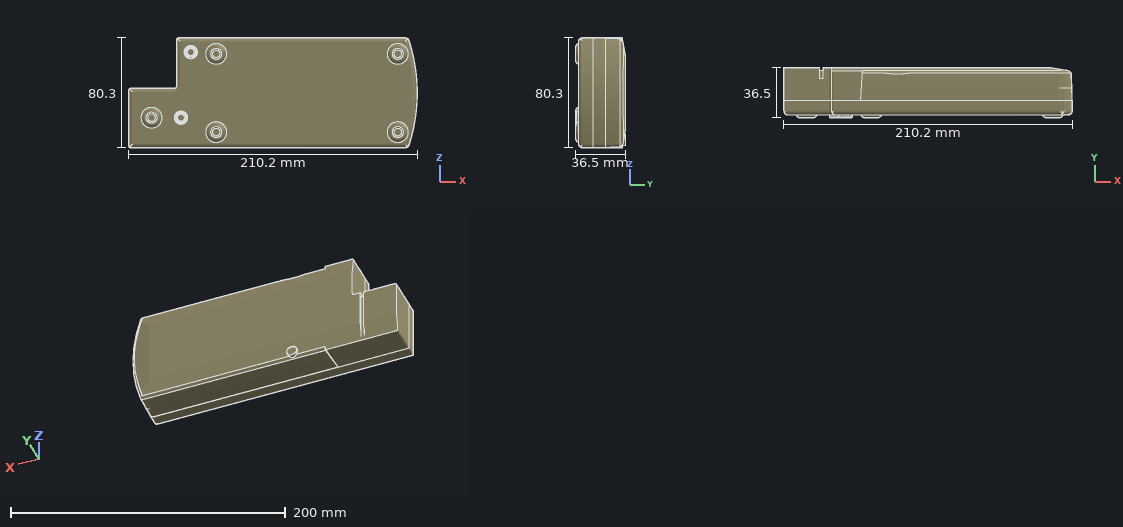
import cadquery as cq
import math

LENGTH = 210.2
DEPTH = 36.5
HEIGHT = 80.3

STEP_X = 35.0
STEP_Z = 43.5
END_BULGE = 6.7
CONVEX_RADIUS = 1.5
CONCAVE_RADIUS = 1.9
END_RADIUS = 3.4
END_CORNER_X = LENGTH - END_BULGE

FOOT_HEIGHT = 2.0
BASE_FRONT_Y = FOOT_HEIGHT
SPLIT_Y = 12.6
PANEL_RIDGE_Y = 21.9
PANEL_BEVEL_Y = 32.5
PANEL_BEVEL_BACK_Y = 35.0
FRONT_FILLET = 3.2

PANEL_START_X = 56.0
PANEL_START_BACK_X = 57.5
PANEL_INSET = 0.2
LOWER_DRAFT = 1.0
UPPER_DRAFT = 2.5
BEVEL_ANGLE = 45.0

BACK_SLOPE_DROP = 2.5
SIDE_SLOPE_WIDTH = 14.0
END_SLOPE_WIDTH = 15.8

GROOVE_X = 27.3
GROOVE_WIDTH = 2.5
GROOVE_DEPTH = 1.9
NOTCH_DEPTH = 8.0
NOTCH_HEIGHT = 2.0
SCOOP_X = 82.6
SCOOP_LENGTH = 19.5
SCOOP_DEPTH = 0.6
SCOOP_Y = 33.5
SCOOP_Z = 78.8
BUTTON_RADIUS = 4.0
BUTTON_Z = 5.7

FOOT_LEFT_X = 63.7
FOOT_RIGHT_X = 196.0
FOOT_LOW_Z = 11.5
FOOT_HIGH_Z = 68.5
TAIL_Z = 22.0
FOOT_POINTS = [(x, z) for x in (FOOT_LEFT_X, FOOT_RIGHT_X) for z in (FOOT_LOW_Z, FOOT_HIGH_Z)]
FOOT_POINTS.append((16.6, TAIL_Z))
FOOT_RADIUS = 7.5
FOOT_SHOULDER_RADIUS = 6.7
FOOT_SHOULDER_Y = 0.8
FOOT_LAND_RADIUS = 4.8
FOOT_HOLE_TOP_RADIUS = 4.0
FOOT_HOLE_RADIUS = 2.7

RING_POINTS = [(38.0, TAIL_Z), (45.2, 69.8)]
RING_RADIUS = 4.8
RING_CHAMFER = 0.6
RING_HOLE_TOP_RADIUS = 3.4
RING_HOLE_RADIUS = 2.5

ROOT = 0.6
MARGIN = 2.0


def plane_at(y):
    """XZ work plane at the given Y, extruding toward +Y, with local (x, y) = (X, -Z)."""
    return cq.Workplane(cq.Plane(origin=(0, y, 0), xDir=(1, 0, 0), normal=(0, 1, 0)))


def stepped_block(y_front, y_back):
    """Sharp-cornered stepped block with the arched right end and a rounded inner corner."""
    block = (
        plane_at(y_front)
        .moveTo(0, 0)
        .lineTo(END_CORNER_X, 0)
        .threePointArc((LENGTH, -HEIGHT / 2), (END_CORNER_X, -HEIGHT))
        .lineTo(STEP_X, -HEIGHT)
        .lineTo(STEP_X, -STEP_Z)
        .lineTo(0, -STEP_Z)
        .close()
        .extrude(y_back - y_front)
    )
    return block.edges(edge_near(STEP_X, STEP_Z)).fillet(CONCAVE_RADIUS)


def edge_near(x, z):
    """Selector for the edge parallel to Y at the given X and Z."""
    reach = 0.2
    return cq.selectors.BoxSelector((x - reach, -DEPTH, z - reach), (x + reach, 2 * DEPTH, z + reach))


def round_corners(block):
    """Round the outer corners of a stepped block."""
    for x, z in [(0, 0), (0, STEP_Z), (STEP_X, HEIGHT)]:
        block = block.edges(edge_near(x, z)).fillet(CONVEX_RADIUS)
    for z in (0, HEIGHT):
        block = block.edges(edge_near(END_CORNER_X, z)).fillet(END_RADIUS)
    return block


def turned(profile, x, z):
    """Turn a closed (radius, Y) outline about the Y-parallel axis through (x, z)."""
    return profile.close().revolve(360, (0, 0, 0), (0, 1, 0)).translate((x, 0, z))


def foot(x, z):
    """Round-shouldered foot with a tapered blind hole."""
    profile = (
        cq.Workplane("XY")
        .moveTo(0, BASE_FRONT_Y + ROOT)
        .lineTo(FOOT_RADIUS, BASE_FRONT_Y + ROOT)
        .lineTo(FOOT_RADIUS, BASE_FRONT_Y)
        .threePointArc((FOOT_SHOULDER_RADIUS, FOOT_SHOULDER_Y), (FOOT_LAND_RADIUS, 0))
        .lineTo(FOOT_HOLE_TOP_RADIUS, 0)
        .lineTo(FOOT_HOLE_RADIUS, FOOT_HEIGHT)
        .lineTo(0, FOOT_HEIGHT)
    )
    return turned(profile, x, z)


def ring(x, z):
    """Small chamfered ring with a tapered blind hole."""
    profile = (
        cq.Workplane("XY")
        .moveTo(0, BASE_FRONT_Y + ROOT)
        .lineTo(RING_RADIUS, BASE_FRONT_Y + ROOT)
        .lineTo(RING_RADIUS, RING_CHAMFER)
        .lineTo(RING_RADIUS - RING_CHAMFER, 0)
        .lineTo(RING_HOLE_TOP_RADIUS, 0)
        .lineTo(RING_HOLE_RADIUS, FOOT_HEIGHT)
        .lineTo(0, FOOT_HEIGHT)
    )
    return turned(profile, x, z)


def make_base():
    """Front shell: filleted front rim with mitred corners, feet and rings."""
    rim = stepped_block(BASE_FRONT_Y, SPLIT_Y).faces("<Y").edges().fillet(FRONT_FILLET)
    base = rim.intersect(round_corners(stepped_block(BASE_FRONT_Y, SPLIT_Y)))
    for x, z in FOOT_POINTS:
        base = base.union(foot(x, z))
    for x, z in RING_POINTS:
        base = base.union(ring(x, z))
    return base


def panel_stage(y_front, y_back, inset, draft):
    """Slice of the drafted panel body, its outline moved in by inset at the front."""
    corner_shift = inset * END_BULGE / (HEIGHT / 2)
    right = END_CORNER_X - inset + corner_shift
    slab = (
        plane_at(y_front)
        .moveTo(STEP_X, -inset)
        .lineTo(right, -inset)
        .threePointArc((LENGTH - inset, -HEIGHT / 2), (right, inset - HEIGHT))
        .lineTo(STEP_X, inset - HEIGHT)
        .close()
        .extrude(y_back - y_front)
    )
    for z in (inset, HEIGHT - inset):
        slab = slab.edges(edge_near(right, z)).fillet(END_RADIUS - inset)
    outline = slab.faces("<Y").wires().vals()
    return plane_at(y_front).newObject(outline).toPending().extrude(y_back - y_front, taper=draft)


def panel_trim():
    """Material to remove so the right part of the cover becomes a two-slope drafted panel."""
    zone = (
        cq.Workplane("XY")
        .polyline([
            (PANEL_START_X, SPLIT_Y),
            (LENGTH + MARGIN, SPLIT_Y),
            (LENGTH + MARGIN, DEPTH),
            (PANEL_START_BACK_X, DEPTH),
        ])
        .close()
        .extrude(HEIGHT + 2 * MARGIN)
        .translate((0, 0, -MARGIN))
    )
    inset = PANEL_INSET
    stages = [
        (SPLIT_Y, PANEL_RIDGE_Y, LOWER_DRAFT),
        (PANEL_RIDGE_Y, PANEL_BEVEL_Y, UPPER_DRAFT),
        (PANEL_BEVEL_Y, PANEL_BEVEL_BACK_Y, BEVEL_ANGLE),
        (PANEL_BEVEL_BACK_Y, DEPTH, 0.0),
    ]
    for y_front, y_back, draft in stages:
        stage = panel_stage(y_front, y_back, inset, draft)
        zone = zone.cut(stage)
        inset += (y_back - y_front) * math.tan(math.radians(draft))
    return zone


def slope_back(cover):
    """Slope the upper, lower and right borders of the back face."""
    side_profile = (
        cq.Workplane("YZ")
        .polyline([
            (SPLIT_Y, 0),
            (DEPTH - BACK_SLOPE_DROP, 0),
            (DEPTH, SIDE_SLOPE_WIDTH),
            (DEPTH, HEIGHT - SIDE_SLOPE_WIDTH),
            (DEPTH - BACK_SLOPE_DROP, HEIGHT),
            (SPLIT_Y, HEIGHT),
        ])
        .close()
        .extrude(LENGTH)
    )
    end_profile = (
        cq.Workplane("XY")
        .polyline([
            (0, SPLIT_Y),
            (LENGTH, SPLIT_Y),
            (LENGTH, DEPTH - BACK_SLOPE_DROP),
            (LENGTH - END_SLOPE_WIDTH, DEPTH),
            (0, DEPTH),
        ])
        .close()
        .extrude(HEIGHT)
    )
    return cover.intersect(side_profile).intersect(end_profile)


def groove():
    """Narrow groove up the back of the tail, deeper at the tail's upper face."""
    height = STEP_Z + 2 * MARGIN
    channel = (
        cq.Workplane("XY")
        .box(GROOVE_WIDTH, GROOVE_DEPTH, height, centered=(True, False, False))
        .translate((GROOVE_X, DEPTH - GROOVE_DEPTH, -MARGIN))
    )
    notch = (
        cq.Workplane("XY")
        .box(GROOVE_WIDTH, NOTCH_DEPTH, NOTCH_HEIGHT + MARGIN, centered=(True, False, False))
        .translate((GROOVE_X, DEPTH - NOTCH_DEPTH, STEP_Z - NOTCH_HEIGHT))
    )
    return channel.union(notch)


def scoop():
    """Ball that hollows a shallow finger scoop out of the panel's upper bevel."""
    radius = ((SCOOP_LENGTH / 2) ** 2 + SCOOP_DEPTH ** 2) / (2 * SCOOP_DEPTH)
    bevel = math.radians(BEVEL_ANGLE)
    lift_y = (radius - SCOOP_DEPTH) * math.sin(bevel)
    lift_z = (radius - SCOOP_DEPTH) * math.cos(bevel)
    return cq.Workplane("XY").sphere(radius).translate((SCOOP_X, SCOOP_Y + lift_y, SCOOP_Z + lift_z))


def button():
    """Round button standing on the lower slope of the back face."""
    return plane_at(SPLIT_Y).center(SCOOP_X, -BUTTON_Z).circle(BUTTON_RADIUS).extrude(DEPTH - SPLIT_Y)


def make_cover():
    """Back shell: drafted side panel, sloped back, groove, scoop and button."""
    cover = round_corners(stepped_block(SPLIT_Y, DEPTH))
    cover = slope_back(cover.cut(panel_trim()))
    return cover.cut(groove()).cut(scoop()).union(button())


base = make_base()
cover = make_cover()
result = cq.Compound.makeCompound([base.solids().val(), cover.solids().val()])